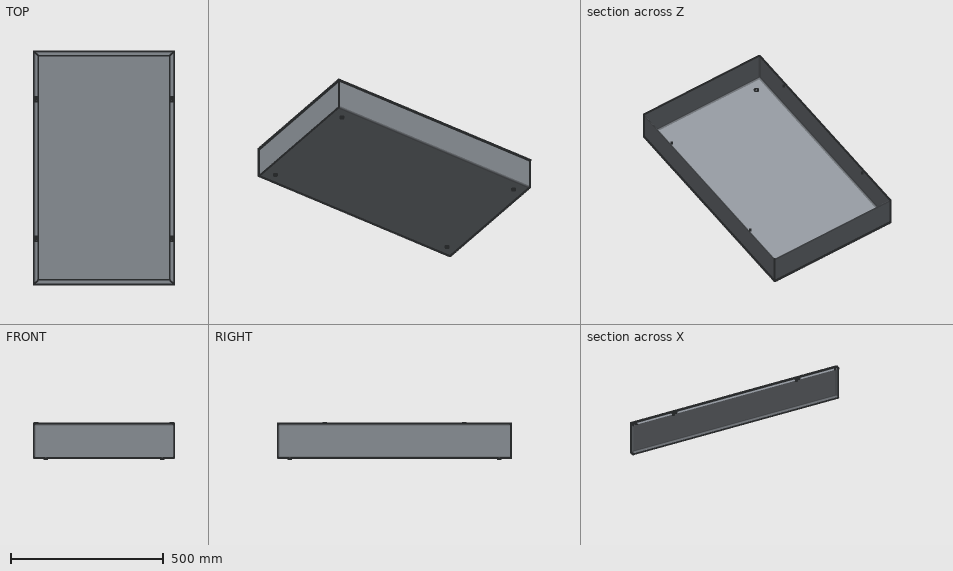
import cadquery as cq
import math

LENGTH_Y = 765.0
WIDTH_X = 461.0
TOTAL_HEIGHT = 119.0

SHEET = 1.4
BEND_RADIUS = 3.0
FLOOR_BEND_RADIUS = 4.0
FLANGE_WIDTH = 15.0
SEAM_GAP = 0.15
MITRE_ANGLE = 45

COVER_THICKNESS = 1.7
COVER_EDGE_RADIUS = 1.15

FOOT_HEIGHT = 3.0
FOOT_DIAMETER = 12.0
FOOT_TIP_DIAMETER = 9.0
FOOT_INSET = 40.0

SCREW_X = 222.0
SCREW_Y = 229.0
HEAD_DIAMETER = 10.0
HEAD_TOP_DIAMETER = 9.0
HEAD_HEIGHT = 2.0
SHANK_DIAMETER = 4.1
SHANK_LENGTH = 9.0
KEYHOLE_SLOT_WIDTH = 5.8
KEYHOLE_DIAMETER = 11.0
KEYHOLE_OFFSET = 7.0
KEYHOLE_ANGLE = 90

FLOOR_BOTTOM = -TOTAL_HEIGHT / 2 + FOOT_HEIGHT
COVER_TOP = TOTAL_HEIGHT / 2 - HEAD_HEIGHT
FLANGE_TOP = COVER_TOP - COVER_THICKNESS
HOUSING_HEIGHT = FLANGE_TOP - FLOOR_BOTTOM

SCREW_POINTS = [(x, y) for x in (-SCREW_X, SCREW_X) for y in (-SCREW_Y, SCREW_Y)]
FOOT_X = WIDTH_X / 2 - FOOT_INSET
FOOT_Y = LENGTH_Y / 2 - FOOT_INSET
FOOT_POINTS = [(x, y) for x in (-FOOT_X, FOOT_X) for y in (-FOOT_Y, FOOT_Y)]


def block(inset, bottom, height):
    """A plain block whose sides lie `inset` inside the enclosure outline."""
    return (
        cq.Workplane("XY", origin=(0, 0, bottom))
        .rect(WIDTH_X - 2 * inset, LENGTH_Y - 2 * inset)
        .extrude(height)
    )


def folded_block(inset):
    """A block with bent edges; its floor edges along X and its uprights at +Y stay sharp."""
    shape = block(inset, FLOOR_BOTTOM + inset, HOUSING_HEIGHT - 2 * inset)
    shape = shape.edges("<Z and |Y").fillet(FLOOR_BEND_RADIUS - inset)
    return shape.edges(">Z or (|Z and <Y)").fillet(BEND_RADIUS - inset)


def corner_seam(x_side, y_side):
    """Thin mitre slit through the flange, from the bend at one corner to the opening."""
    reach = FLANGE_WIDTH - BEND_RADIUS
    middle_inset = BEND_RADIUS + reach / 2
    middle_x = x_side * (WIDTH_X / 2 - middle_inset)
    middle_y = y_side * (LENGTH_Y / 2 - middle_inset)
    return (
        cq.Workplane("XY", origin=(middle_x, middle_y, FLANGE_TOP - SHEET))
        .transformed(rotate=(0, 0, MITRE_ANGLE * x_side * y_side))
        .rect(reach * math.sqrt(2), SEAM_GAP)
        .extrude(SHEET)
    )


def make_foot(point):
    """A tapered foot below the floor."""
    return (
        cq.Workplane("XY", origin=(*point, FLOOR_BOTTOM))
        .circle(FOOT_DIAMETER / 2)
        .workplane(offset=-FOOT_HEIGHT)
        .circle(FOOT_TIP_DIAMETER / 2)
        .loft(ruled=True)
    )


def make_housing():
    """Folded tray with an inward flange around its open top."""
    housing = folded_block(0).cut(folded_block(SHEET))
    housing = housing.cut(block(FLANGE_WIDTH, FLANGE_TOP - SHEET, SHEET))
    for x_side in (-1, 1):
        for y_side in (-1, 1):
            housing = housing.cut(corner_seam(x_side, y_side))
    for point in FOOT_POINTS:
        housing = housing.union(make_foot(point))
    screw_holes = (
        cq.Workplane("XY", origin=(0, 0, FLANGE_TOP - SHEET))
        .pushPoints(SCREW_POINTS)
        .circle(SHANK_DIAMETER / 2)
        .extrude(SHEET)
    )
    return housing.cut(screw_holes)


def make_cover():
    """Flat plate on the flange, with rounded long edges and a keyhole per screw."""
    cover = block(0, FLANGE_TOP, COVER_THICKNESS)
    cover = cover.edges(">Z and |Y").fillet(COVER_EDGE_RADIUS)
    plane = cq.Workplane("XY", origin=(0, 0, FLANGE_TOP))
    entries = (
        plane.pushPoints([(x, y - KEYHOLE_OFFSET) for x, y in SCREW_POINTS])
        .circle(KEYHOLE_DIAMETER / 2)
        .extrude(COVER_THICKNESS)
    )
    slots = (
        plane.pushPoints([(x, y - KEYHOLE_OFFSET / 2) for x, y in SCREW_POINTS])
        .slot2D(KEYHOLE_OFFSET + KEYHOLE_SLOT_WIDTH, KEYHOLE_SLOT_WIDTH, KEYHOLE_ANGLE)
        .extrude(COVER_THICKNESS)
    )
    return cover.cut(entries).cut(slots)


def make_screw(point):
    """Screw with a tapered head resting on the cover."""
    head = (
        cq.Workplane("XY", origin=(*point, COVER_TOP))
        .circle(HEAD_DIAMETER / 2)
        .workplane(offset=HEAD_HEIGHT)
        .circle(HEAD_TOP_DIAMETER / 2)
        .loft(ruled=True)
    )
    shank = (
        cq.Workplane("XY", origin=(*point, COVER_TOP))
        .circle(SHANK_DIAMETER / 2)
        .extrude(-SHANK_LENGTH)
    )
    return head.union(shank)


housing = make_housing()
cover = make_cover()
screws = [make_screw(point) for point in SCREW_POINTS]

result = cq.Compound.makeCompound([housing.val(), cover.val(), *[screw.val() for screw in screws]])